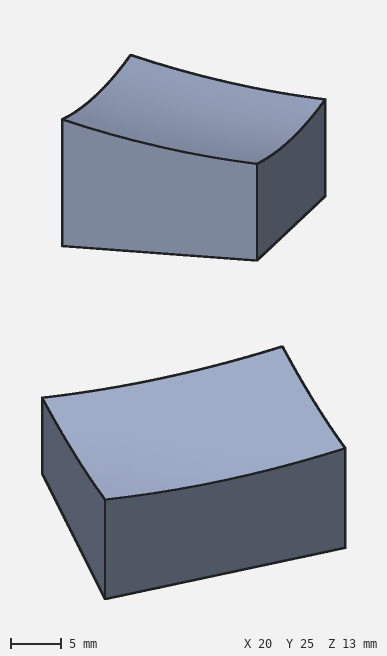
import cadquery as cq
import math

length_x = 20.0
width_y = 25.0
peak_height = 13.0

dish_radius = 100.0
dish_center_x = 15.0

corner_offset = math.hypot(dish_center_x + length_x / 2, width_y / 2)
dish_center_z = peak_height + math.sqrt(dish_radius**2 - corner_offset**2)

block = cq.Workplane("XY").box(length_x, width_y, peak_height, centered=(True, True, False))
dish = cq.Workplane("XY").sphere(dish_radius).translate((dish_center_x, 0, dish_center_z))

result = block.cut(dish)